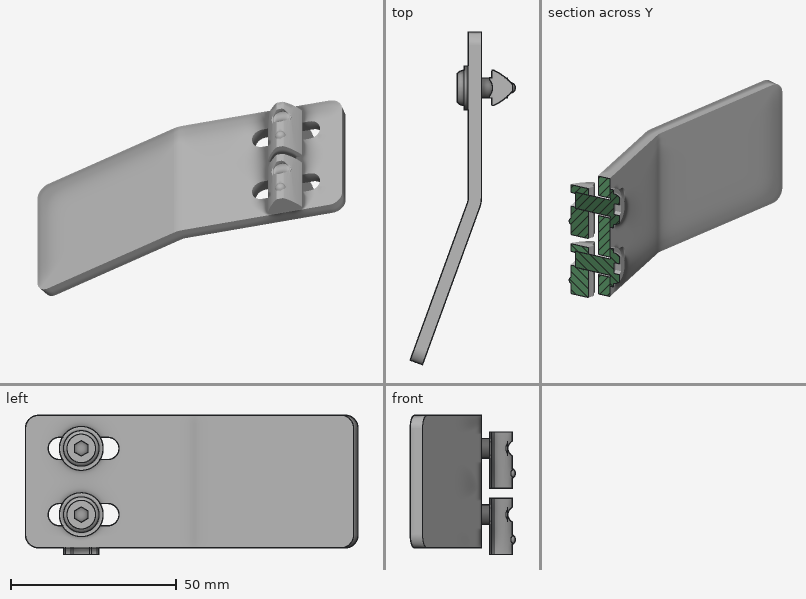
import cadquery as cq
import math


plate_thickness = 4.0
plate_height = 40.0
overall_length = 100.3
mounting_leg_length = 50.0
bend_angle = math.radians(20)
bend_inner_radius = 4.0
corner_radius = 4.0

slot_width = 6.6
slot_length = 21.3
slot_from_end = 17.5

screw_pitch = 20.0
screw_from_end = 16.8
shank_diameter = 6.0
shank_length = 11.8
flange_diameter = 13.2
flange_thickness = 1.2
dome_base_diameter = 10.7
dome_face_diameter = 8.6
dome_height = 2.1
dome_bulge = 0.2
socket_width = 4.0
socket_depth = 1.9

nut_gap = 2.4
nut_above_screw = 5.0
nut_below_screw = 12.0
nut_width = 10.6
nut_side_height = 0.7
nut_height = 6.3
flank_bulge = 0.4
tip_width = 2.0
tip_fillet = 0.8
base_bevel_width = 0.5
base_bevel_height = 0.2
rail_width = 6.2
rail_height = 0.6
rail_groove_radius = 3.7
rail_groove_depth = 0.9
tapped_hole_diameter = 4.9
ball_radius = 1.6
ball_rise = 0.9
ball_below_screw = 7.5

bend_outer_radius = bend_inner_radius + plate_thickness
bend_drop = bend_outer_radius * math.sin(bend_angle)
flap_length = (overall_length - mounting_leg_length - bend_drop) / math.cos(bend_angle)
slot_y = mounting_leg_length - slot_from_end
screw_y = mounting_leg_length - screw_from_end
screw_heights = [-screw_pitch / 2, screw_pitch / 2]
nut_base_x = plate_thickness + nut_gap + rail_height
nut_tip_x = nut_base_x + nut_height


def bend_point(radius, angle):
    """Point (X, Y) on the bend at a radius and at an angle past the bend's start."""
    return (radius * math.cos(angle) - bend_inner_radius, -radius * math.sin(angle))


def along_flap(point):
    """Point reached from another one by going the flap's length down the flap."""
    return (
        point[0] - flap_length * math.sin(bend_angle),
        point[1] - flap_length * math.cos(bend_angle),
    )


def on_screw_axis(x, z):
    """Plane across a screw axis: normal +X, local x along Y, local y along Z."""
    return cq.Workplane("YZ", origin=(x, screw_y, z))


def make_plate():
    """Flat leg and tilted flap joined by a bend, with rounded corners and two slots."""
    inner_end = bend_point(bend_inner_radius, bend_angle)
    outer_end = bend_point(bend_outer_radius, bend_angle)
    plate = (
        cq.Workplane("XY", origin=(0, 0, -plate_height / 2))
        .moveTo(0, mounting_leg_length)
        .lineTo(0, 0)
        .threePointArc(bend_point(bend_inner_radius, bend_angle / 2), inner_end)
        .lineTo(*along_flap(inner_end))
        .lineTo(*along_flap(outer_end))
        .lineTo(*outer_end)
        .threePointArc(bend_point(bend_outer_radius, bend_angle / 2), (plate_thickness, 0))
        .lineTo(plate_thickness, mounting_leg_length)
        .close()
        .extrude(plate_height)
    )
    leg_corners = plate.faces(">Y").edges("|X")
    flap_direction = cq.Vector(-math.sin(bend_angle), -math.cos(bend_angle), 0)
    flap_end = plate.faces(cq.selectors.DirectionMinMaxSelector(flap_direction))
    flap_corners = flap_end.edges("not |Z")
    plate = plate.newObject(leg_corners.vals() + flap_corners.vals()).fillet(corner_radius)
    slots = (
        cq.Workplane("YZ")
        .pushPoints([(slot_y, z) for z in screw_heights])
        .slot2D(slot_length, slot_width)
        .extrude(plate_thickness)
    )
    return plate.cut(slots)


def make_screw(z):
    """Flanged screw with a domed head, a hexagon socket and a plain shank."""
    face_x = -flange_thickness - dome_height
    dome_middle = (
        (dome_base_diameter + dome_face_diameter) / 4 + dome_bulge,
        face_x + dome_height / 2 - dome_bulge,
    )
    half_section = cq.Plane(origin=(0, screw_y, z), xDir=(0, 1, 0), normal=(0, 0, -1))
    screw = (
        cq.Workplane(half_section)
        .moveTo(0, face_x)
        .lineTo(dome_face_diameter / 2, face_x)
        .threePointArc(dome_middle, (dome_base_diameter / 2, -flange_thickness))
        .lineTo(flange_diameter / 2, -flange_thickness)
        .lineTo(flange_diameter / 2, 0)
        .lineTo(shank_diameter / 2, 0)
        .lineTo(shank_diameter / 2, shank_length)
        .lineTo(0, shank_length)
        .close()
        .revolve(360, (0, 0, 0), (0, 1, 0))
    )
    corner_diameter = socket_width / math.cos(math.pi / 6)
    socket = (
        on_screw_axis(face_x, z)
        .transformed(rotate=(0, 0, 90))
        .polygon(6, corner_diameter)
        .extrude(socket_depth)
    )
    return screw.cut(socket)


def make_nut(z):
    """Roof-shaped slot nut with a grooved rail on its base, a stepped hole and a spring ball."""
    side = nut_width / 2
    tip = tip_width / 2
    rail = rail_width / 2
    chord = math.hypot(nut_height - nut_side_height, side - tip)
    middle_x = (nut_side_height + nut_height) / 2 + flank_bulge * (side - tip) / chord
    middle_y = (side + tip) / 2 + flank_bulge * (nut_height - nut_side_height) / chord
    bottom_z = z - nut_below_screw

    nut = (
        cq.Workplane("XY", origin=(nut_base_x, screw_y, bottom_z))
        .moveTo(-rail_height, -rail)
        .lineTo(0, -rail)
        .lineTo(0, base_bevel_width - side)
        .lineTo(base_bevel_height, -side)
        .lineTo(nut_side_height, -side)
        .threePointArc((middle_x, -middle_y), (nut_height, -tip))
        .lineTo(nut_height, tip)
        .threePointArc((middle_x, middle_y), (nut_side_height, side))
        .lineTo(base_bevel_height, side)
        .lineTo(0, side - base_bevel_width)
        .lineTo(0, rail)
        .lineTo(-rail_height, rail)
        .close()
        .extrude(nut_above_screw + nut_below_screw)
        .faces(">X")
        .edges("|Z")
        .fillet(tip_fillet)
    )
    groove_x = nut_base_x - rail_height + rail_groove_depth - rail_groove_radius
    groove = (
        cq.Workplane("XY", origin=(groove_x, screw_y, bottom_z))
        .circle(rail_groove_radius)
        .extrude(nut_above_screw + nut_below_screw)
    )
    shank_hole = on_screw_axis(0, z).circle(shank_diameter / 2).extrude(shank_length)
    tapped_hole = on_screw_axis(0, z).circle(tapped_hole_diameter / 2).extrude(nut_tip_x)
    ball_center = (nut_tip_x + ball_rise - ball_radius, screw_y, z - ball_below_screw)
    ball = cq.Workplane("XY", origin=ball_center).sphere(ball_radius)
    return nut.cut(groove).cut(shank_hole).cut(tapped_hole).union(ball)


plate = make_plate()
screws = [make_screw(z) for z in screw_heights]
nuts = [make_nut(z) for z in screw_heights]

result = cq.Compound.makeCompound(
    [plate.val(), *[screw.val() for screw in screws], *[nut.val() for nut in nuts]]
)